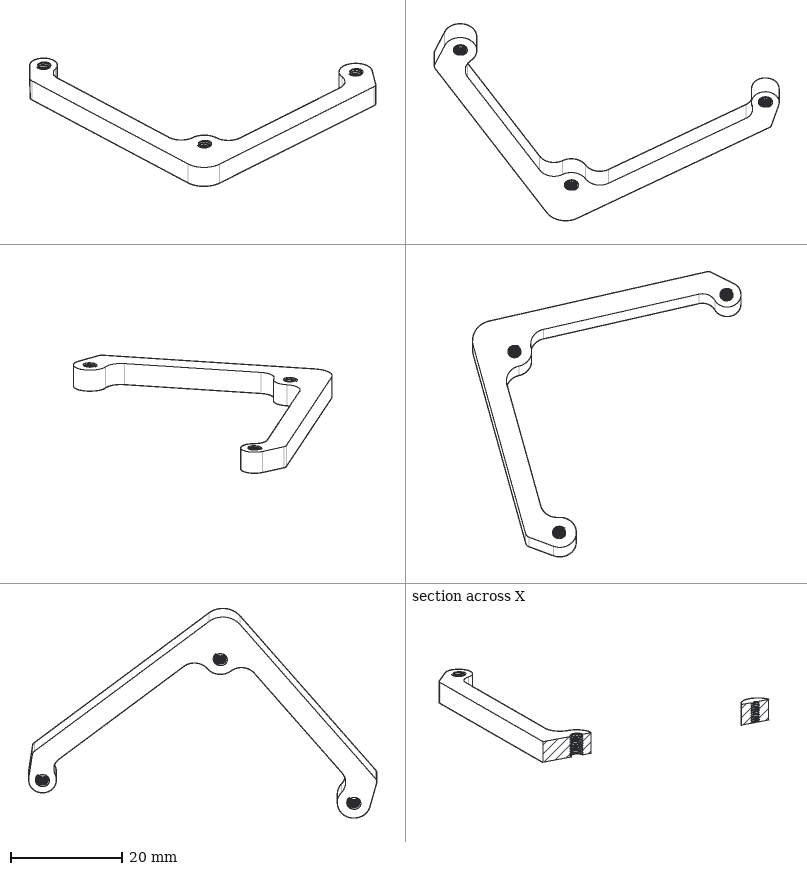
import cadquery as cq
import math

length_x = 49.18
length_y = 46.89
thickness = 4.0
arm_width = 4.0

large_boss_radius = 3.0
small_boss_radius = 2.5
corner_boss = (-7.0, 7.0)
upper_boss = (-6.0, length_y - large_boss_radius)
left_boss = (small_boss_radius - length_x, 5.3)

outer_corner_radius = 4.0
inner_blend_radius = 3.0
left_blend_radius = 2.5
slope_end_radius = 1.0
upper_slope_angle = 36.5
left_slope_angle = 43.0

thread_minor_diameter = 2.08
thread_major_diameter = 2.58
thread_pitch = 0.45
groove_mouth_width = 0.75 * thread_pitch
groove_root_width = thread_pitch / 8
groove_top_direction = 45.0
cutter_overlap = 0.05
thread_overrun = thread_pitch
bore_overrun = 2 * thread_pitch


def point_on_circle(center, radius, angle):
    """Point on a circle at an angle in degrees from +X."""
    turn = math.radians(angle)
    return (center[0] + radius * math.cos(turn), center[1] + radius * math.sin(turn))


def point_between(start, end, distance):
    """Point at a distance from start on the way to end."""
    ratio = distance / math.dist(start, end)
    return (start[0] + ratio * (end[0] - start[0]), start[1] + ratio * (end[1] - start[1]))


def direction_from(start, end):
    """Angle in degrees from +X of the line from start to end."""
    return math.degrees(math.atan2(end[1] - start[1], end[0] - start[0]))


def make_plate():
    """Extruded outline, with bosses joined to the arms by tangent arcs."""
    inner_edge_x = -arm_width
    inner_edge_y = arm_width

    upper_blend_x = inner_edge_x - inner_blend_radius
    upper_reach = large_boss_radius + inner_blend_radius
    upper_drop = math.sqrt(upper_reach**2 - (upper_boss[0] - upper_blend_x) ** 2)
    upper_blend = (upper_blend_x, upper_boss[1] - upper_drop)
    upper_joint = point_between(upper_boss, upper_blend, large_boss_radius)
    upper_joint_angle = direction_from(upper_blend, upper_joint)

    left_blend_y = inner_edge_y + left_blend_radius
    left_reach = small_boss_radius + left_blend_radius
    left_run = math.sqrt(left_reach**2 - (left_boss[1] - left_blend_y) ** 2)
    left_blend = (left_boss[0] + left_run, left_blend_y)
    left_joint = point_between(left_boss, left_blend, small_boss_radius)
    left_joint_angle = direction_from(left_blend, left_joint)

    corner_reach = large_boss_radius + inner_blend_radius
    corner_upper_blend = (corner_boss[0], corner_boss[1] + corner_reach)
    corner_left_blend = (corner_boss[0] - corner_reach, corner_boss[1])

    upper_slope_normal = 90 - upper_slope_angle
    upper_tangent = point_on_circle(upper_boss, large_boss_radius, upper_slope_normal)
    upper_slope_end = (0, upper_tangent[1] + upper_tangent[0] * math.tan(math.radians(upper_slope_angle)))
    left_slope_normal = 270 - left_slope_angle
    left_tangent = point_on_circle(left_boss, small_boss_radius, left_slope_normal)
    left_slope_end = (left_tangent[0] + left_tangent[1] / math.tan(math.radians(left_slope_angle)), 0)

    outline = (
        cq.Workplane("XY")
        .moveTo(*left_slope_end)
        .lineTo(0, 0)
        .lineTo(*upper_slope_end)
        .lineTo(*upper_tangent)
        .threePointArc(point_on_circle(upper_boss, large_boss_radius, 180), upper_joint)
        .threePointArc(
            point_on_circle(upper_blend, inner_blend_radius, upper_joint_angle / 2),
            (inner_edge_x, upper_blend[1]),
        )
        .lineTo(inner_edge_x, corner_upper_blend[1])
        .threePointArc(
            point_on_circle(corner_upper_blend, inner_blend_radius, -45),
            (corner_boss[0], corner_boss[1] + large_boss_radius),
        )
        .threePointArc(
            point_on_circle(corner_boss, large_boss_radius, 135),
            (corner_boss[0] - large_boss_radius, corner_boss[1]),
        )
        .threePointArc(
            point_on_circle(corner_left_blend, inner_blend_radius, -45),
            (corner_left_blend[0], inner_edge_y),
        )
        .lineTo(left_blend[0], inner_edge_y)
        .threePointArc(
            point_on_circle(left_blend, left_blend_radius, (left_joint_angle - 90) / 2),
            left_joint,
        )
        .threePointArc(point_on_circle(left_boss, small_boss_radius, 135), left_tangent)
        .close()
    )
    plate = outline.extrude(thickness)
    plate = round_vertical_edge(plate, (0, 0), outer_corner_radius)
    plate = round_vertical_edge(plate, upper_slope_end, slope_end_radius)
    return round_vertical_edge(plate, left_slope_end, slope_end_radius)


def round_vertical_edge(body, position, radius):
    """Fillet the vertical edge nearest to an XY position."""
    middle = (position[0], position[1], thickness / 2)
    return body.edges("|Z").edges(cq.selectors.NearestToPointSelector(middle)).fillet(radius)


def make_thread_groove():
    """Helical groove around the Z axis, running out past both faces of the plate."""
    minor_radius = thread_minor_diameter / 2
    major_radius = thread_major_diameter / 2
    inner_radius = minor_radius - cutter_overlap
    flank_slope = (groove_mouth_width - groove_root_width) / (major_radius - minor_radius)
    inner_width = groove_mouth_width + flank_slope * cutter_overlap
    helix_height = thickness + 2 * thread_overrun
    helix = cq.Wire.makeHelix(thread_pitch, helix_height, minor_radius)
    groove = (
        cq.Workplane("XZ")
        .moveTo(inner_radius, -inner_width / 2)
        .lineTo(major_radius, -groove_root_width / 2)
        .lineTo(major_radius, groove_root_width / 2)
        .lineTo(inner_radius, inner_width / 2)
        .close()
        .sweep(cq.Workplane(helix), isFrenet=True)
    )
    turns_to_top = (thickness + thread_overrun) / thread_pitch
    start_angle = groove_top_direction - 360 * turns_to_top
    return groove.rotate((0, 0, 0), (0, 0, 1), start_angle).translate((0, 0, -thread_overrun))


def make_threaded_hole():
    """Cutter for one hole on the Z axis: the bore joined with the thread groove."""
    bore = cq.Workplane("XY").circle(thread_minor_diameter / 2).extrude(thickness + 2 * bore_overrun)
    return bore.translate((0, 0, -bore_overrun)).union(make_thread_groove())


def cut_threaded_holes(body):
    """Threaded through hole in the middle of each boss."""
    hole = make_threaded_hole()
    for x, y in (corner_boss, upper_boss, left_boss):
        body = body.cut(hole.translate((x, y, 0)))
    return body


result = cut_threaded_holes(make_plate())